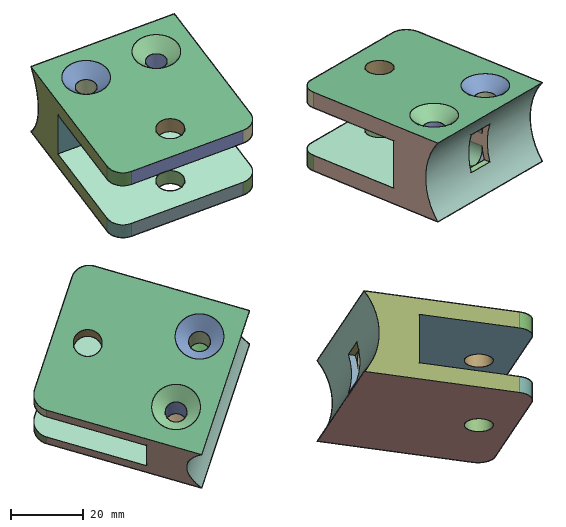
import cadquery as cq
import math

length = 50
width = 45
height = 25
corner_radius = 5

tube_radius = 20
liner_thickness = 2

fork_root_x = 16
fork_gap = 15
pin_diameter = 8
pin_x = 40

slot_width = 8
slot_height = 12

screw_x = 11
screw_spacing = 22
screw_diameter = 6
countersink_diameter = 13.5
screw_depth = 12.5
drill_point_angle = 118

tube_axis_x = -math.sqrt(tube_radius**2 - (height / 2) ** 2)
saddle_bottom_x = tube_axis_x + tube_radius
mouth_bottom_x = saddle_bottom_x + liner_thickness


def tube(axis_x):
    """Cylinder along Y, as long as the block is wide."""
    return cq.Workplane("XZ").center(axis_x, 0).circle(tube_radius).extrude(width / 2, both=True)


def fork_block():
    block = cq.Workplane("XY").box(length, width, height, centered=(False, True, True))
    block = block.edges("|Z and >X").fillet(corner_radius)
    gap = cq.Workplane("XY").box(length, width, fork_gap, centered=(False, True, True))
    return block.cut(gap.translate((fork_root_x, 0, 0))).cut(tube(tube_axis_x))


def mounting_slot():
    """Rounded slot through the web plus the liner's square-cornered mouth."""
    slot = cq.Workplane("YZ").slot2D(slot_height, slot_width, 90).extrude(fork_root_x)
    mouth = cq.Workplane("YZ").rect(slot_width, slot_height).extrude(mouth_bottom_x)
    return slot.union(mouth.intersect(tube(tube_axis_x + liner_thickness)))


def screw_hole(y):
    """Solid of revolution: 90 degree countersink, bore and drill point."""
    bore_radius = screw_diameter / 2
    sink_radius = countersink_diameter / 2
    sink_depth = sink_radius - bore_radius
    point_depth = bore_radius / math.tan(math.radians(drill_point_angle / 2))
    profile = (
        cq.Workplane("XZ")
        .moveTo(0, 0)
        .lineTo(sink_radius, 0)
        .lineTo(bore_radius, -sink_depth)
        .lineTo(bore_radius, -screw_depth)
        .lineTo(0, -screw_depth - point_depth)
        .close()
    )
    hole = profile.revolve(360, (0, 0, 0), (0, 1, 0))
    return hole.translate((screw_x, y, height / 2))


def pin_hole():
    return cq.Workplane("XY").center(pin_x, 0).circle(pin_diameter / 2).extrude(height / 2, both=True)


result = fork_block().cut(mounting_slot()).cut(pin_hole())
for side in (-1, 1):
    result = result.cut(screw_hole(side * screw_spacing / 2))